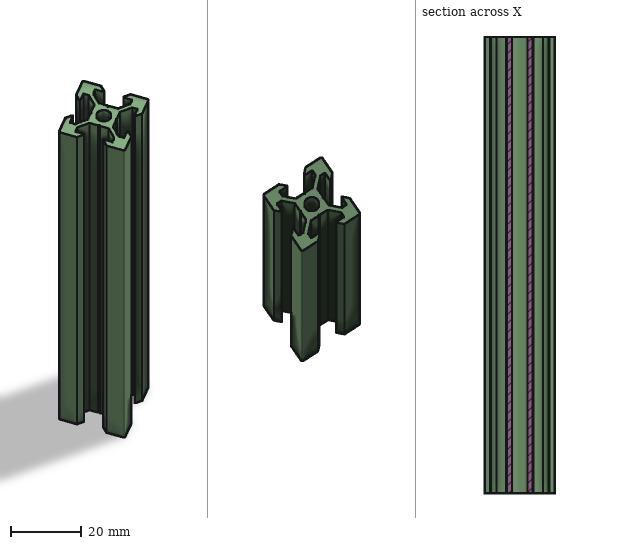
import cadquery as cq
import math

length = 130.0
side = 20.0
corner_radius = 0.5
bore_diameter = 4.2

mouth_width = 9.0
neck_width = 5.8
chamber_width = 11.2
lip_depth = 1.8
core_width = 7.8
web_thickness = 1.4

groove_half_width = 0.3
groove_depth = 0.3

half_side = side / 2
lip_inner = half_side - lip_depth
mouth_half_width = mouth_width / 2
neck_half_width = neck_width / 2
chamber_half_width = chamber_width / 2
core_half_width = core_width / 2
bevel_depth = mouth_half_width - neck_half_width
web_offset = web_thickness / math.sqrt(2)


def make_slot():
    """Cutter for the slot in the +Y side, running the full length."""
    right_half = [
        (groove_half_width, core_half_width),
        (core_half_width - web_offset, core_half_width),
        (chamber_half_width, chamber_half_width + web_offset),
        (chamber_half_width, lip_inner),
        (neck_half_width, lip_inner),
        (neck_half_width, half_side - bevel_depth),
        (mouth_half_width, half_side),
    ]
    left_half = [(-x, y) for x, y in reversed(right_half)]
    groove_bottom = (0, core_half_width - groove_depth)
    outline = [groove_bottom] + right_half + left_half
    return cq.Workplane("XY").polyline(outline).close().extrude(length)


def make_bar():
    """Solid square bar with rounded long edges and a central bore."""
    bar = cq.Workplane("XY").rect(side, side).extrude(length)
    bar = bar.edges("|Z").fillet(corner_radius)
    return bar.faces(">Z").workplane().hole(bore_diameter)


result = make_bar()
slot = make_slot()
for angle in (0, 90, 180, 270):
    result = result.cut(slot.rotate((0, 0, 0), (0, 0, 1), angle))